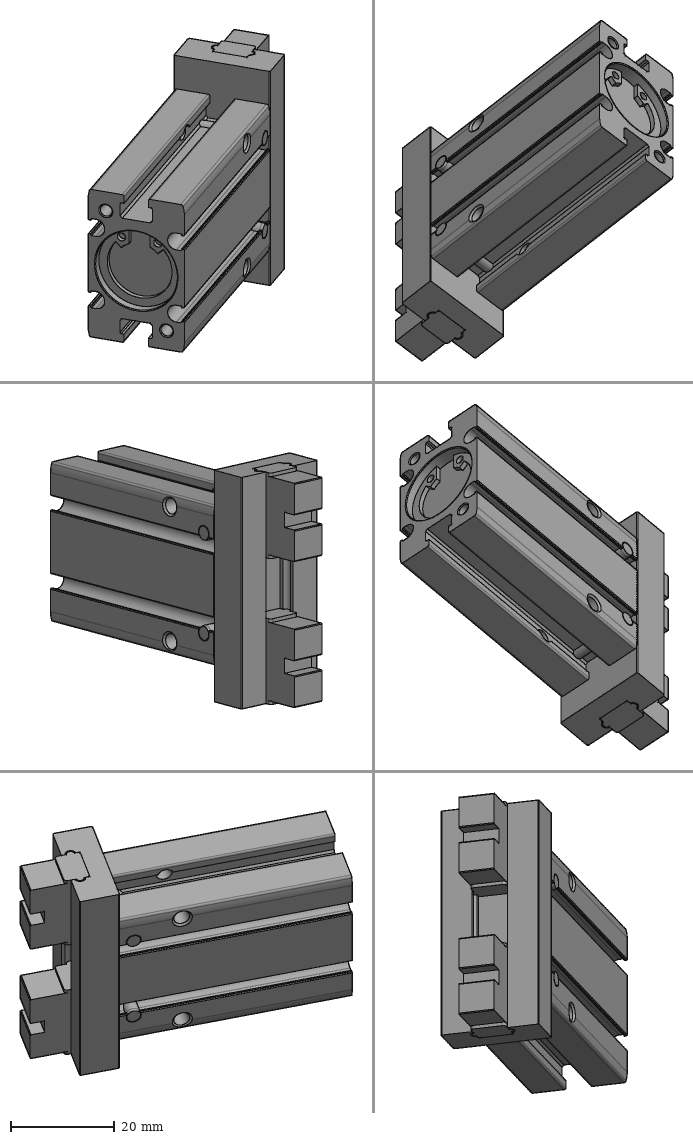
import cadquery as cq
import math


WIDTH = 20.0
LENGTH = 63.1
PLATE_HEIGHT = 46.4
BODY_HEIGHT = 32.0
BODY_LENGTH = 46.8
PLATE_END = 54.85
PLATE_CHAMFER = 0.2

SHOULDER_LEAN = 0.4
SHOULDER_HEIGHT = 2.1
CORNER_ROUND = 0.5
T_NECK_WIDTH = 5.05
T_NECK_DEPTH = 1.8
T_HEAD_WIDTH = 6.7
T_DEPTH = 5.1
T_FLOOR_CHAMFER = 0.45
T_HEAD_CHAMFER = 0.25
T_LIP_ROUND = 0.4
GROOVE_DIAMETER = 3.65
GROOVE_MOUTH = 2.9
GROOVE_CHAMFER = 0.2
GROOVE_LIP = 0.55
GROOVE_INSET = 1.65
GROOVE_Z = 7.8

CROSS_HOLE_DIAMETER = 3.2
CROSS_HOLE_RIM = 4.05
CROSS_HOLE_Y = 34.2
CROSS_HOLE_Z = 13.55
PIN_DIAMETER = 3.0
PIN_BEVEL = 0.1
PIN_BEVEL_LENGTH = 0.55
PIN_Y = 44.0
PIN_Z = 10.05
REAR_HOLE_DIAMETER = 2.45
REAR_HOLE_RIM = 2.9
REAR_HOLE_X = 6.3
REAR_HOLE_Z = 11.85
REAR_HOLE_DEPTH = 6.3

BORE_DIAMETER = 17.0
BORE_CHAMFER = 0.2
RING_FACE_Y = 1.9
RING_THICKNESS = 1.0
RING_INNER_DIAMETER = 13.45
RING_GAP = 4.35
RING_EYE_DIAMETER = 1.7
RING_EYE_X = 3.8
RING_EYE_Z = 5.8
LUG_INNER_RADIUS = 5.1
LUG_START_ANGLE = 42.5

JAW_WIDTH = 7.2
JAW_FOOT_HEIGHT = 17.15
JAW_FOOT_START = 51.05
JAW_FOOT_END = 56.15
JAW_CORNER_ROUND = 0.6
FINGER_HEIGHT = 15.7
NOTCH_HEIGHT = 3.0
NOTCH_DEPTH = 2.95
FINGER_CHAMFER = 0.2
GUIDE_Y = 53.0
GUIDE_X = 3.4
GUIDE_RADIUS = 0.8
GUIDE_SLOT_RADIUS = 1.1

BORE_DEPTH = RING_FACE_Y + RING_THICKNESS
JAW_Z = (PLATE_HEIGHT - JAW_FOOT_HEIGHT) / 2


def block(width, y_start, y_end, height, z_center=0):
    """Box centred on X = 0 that runs from y_start to y_end."""
    return (cq.Workplane("XY")
            .box(width, y_end - y_start, height)
            .translate((0, (y_start + y_end) / 2, z_center)))


def bar_along_y(diameter, x, z, y_start, y_end):
    """Round bar parallel to Y."""
    return cq.Workplane(cq.Solid.makeCylinder(
        diameter / 2, y_end - y_start, cq.Vector(x, y_start, z), cq.Vector(0, 1, 0)))


def bar_along_x(diameter, y, z):
    """Round bar parallel to X across the full width."""
    return cq.Workplane(cq.Solid.makeCylinder(
        diameter / 2, WIDTH, cq.Vector(-WIDTH / 2, y, z), cq.Vector(1, 0, 0)))


def countersink(small, large, point, direction):
    """Conical rim that narrows at 45 degrees from the surface inward."""
    return cq.Workplane(cq.Solid.makeCone(
        large / 2, small / 2, (large - small) / 2, cq.Vector(*point), cq.Vector(*direction)))


def extrude_profile(sketch, length):
    """Push an X-Z outline from the rear face forward."""
    return sketch.extrude(-length)


def body_bar():
    """Bar with small rounded corners and gently curved shoulders."""
    side = WIDTH / 2
    top = BODY_HEIGHT / 2
    shoulder = top - SHOULDER_HEIGHT
    lean = side - SHOULDER_LEAN
    radius = (SHOULDER_LEAN**2 + SHOULDER_HEIGHT**2) / (2 * SHOULDER_LEAN)
    half_angle = math.asin(SHOULDER_HEIGHT / radius) / 2
    mid_x = side - radius * (1 - math.cos(half_angle))
    mid_z = shoulder + radius * math.sin(half_angle)
    outline = (cq.Workplane("XZ")
               .moveTo(side, -shoulder)
               .lineTo(side, shoulder)
               .threePointArc((mid_x, mid_z), (lean, top))
               .lineTo(-lean, top)
               .threePointArc((-mid_x, mid_z), (-side, shoulder))
               .lineTo(-side, -shoulder)
               .threePointArc((-mid_x, -mid_z), (-lean, -top))
               .lineTo(lean, -top)
               .threePointArc((mid_x, -mid_z), (side, -shoulder))
               .close())
    bar = extrude_profile(outline, BODY_LENGTH)
    return bar.edges("|Y").edges(">Z or <Z").fillet(CORNER_ROUND)


def cut_t_slots(bar):
    """T-slots along the top and bottom faces, with rounded lips."""
    top = BODY_HEIGHT / 2
    neck = T_NECK_WIDTH / 2
    head = T_HEAD_WIDTH / 2
    neck_bottom = top - T_NECK_DEPTH
    floor = top - T_DEPTH
    outline = (cq.Workplane("XZ")
               .moveTo(-neck - T_LIP_ROUND, top)
               .radiusArc((-neck, top - T_LIP_ROUND), T_LIP_ROUND)
               .lineTo(-neck, neck_bottom)
               .lineTo(-head + T_HEAD_CHAMFER, neck_bottom)
               .lineTo(-head, neck_bottom - T_HEAD_CHAMFER)
               .lineTo(-head, floor + T_FLOOR_CHAMFER)
               .lineTo(-head + T_FLOOR_CHAMFER, floor)
               .lineTo(head - T_FLOOR_CHAMFER, floor)
               .lineTo(head, floor + T_FLOOR_CHAMFER)
               .lineTo(head, neck_bottom - T_HEAD_CHAMFER)
               .lineTo(head - T_HEAD_CHAMFER, neck_bottom)
               .lineTo(neck, neck_bottom)
               .lineTo(neck, top - T_LIP_ROUND)
               .radiusArc((neck + T_LIP_ROUND, top), T_LIP_ROUND)
               .close())
    slot = extrude_profile(outline, BODY_LENGTH)
    return bar.cut(slot).cut(slot.mirror("XY"))


def side_groove():
    """Cutter for the upper groove on the +X side: U-shaped channel behind two chamfered lips."""
    side = WIDTH / 2
    lip_back = side - GROOVE_LIP
    axis_x = side - GROOVE_INSET
    half_width = GROOVE_DIAMETER / 2
    half_mouth = GROOVE_MOUTH / 2
    outline = (cq.Workplane("XZ", origin=(0, 0, GROOVE_Z))
               .moveTo(axis_x, half_width)
               .lineTo(lip_back - GROOVE_CHAMFER, half_width)
               .lineTo(lip_back, half_width - GROOVE_CHAMFER)
               .lineTo(lip_back, half_mouth)
               .lineTo(side - GROOVE_CHAMFER, half_mouth)
               .lineTo(side, half_mouth + GROOVE_CHAMFER)
               .lineTo(side, -half_mouth - GROOVE_CHAMFER)
               .lineTo(side - GROOVE_CHAMFER, -half_mouth)
               .lineTo(lip_back, -half_mouth)
               .lineTo(lip_back, GROOVE_CHAMFER - half_width)
               .lineTo(lip_back - GROOVE_CHAMFER, -half_width)
               .lineTo(axis_x, -half_width)
               .threePointArc((axis_x - half_width, 0), (axis_x, half_width))
               .close())
    return extrude_profile(outline, BODY_LENGTH)


def cut_side_grooves(bar):
    """Sensor grooves, two on each side."""
    right_pair = side_groove().union(side_groove().mirror("XY"))
    return bar.cut(right_pair).cut(right_pair.mirror("YZ"))


def cut_cross_holes(bar):
    """Through holes across the width, countersunk at both ends."""
    for level in (-1, 1):
        z = level * CROSS_HOLE_Z
        bar = bar.cut(bar_along_x(CROSS_HOLE_DIAMETER, CROSS_HOLE_Y, z))
        for side in (-1, 1):
            rim_center = (side * WIDTH / 2, CROSS_HOLE_Y, z)
            bar = bar.cut(countersink(CROSS_HOLE_DIAMETER, CROSS_HOLE_RIM, rim_center, (-side, 0, 0)))
    return bar


def cross_pin(level):
    """Full-width pin with both ends slightly tapered."""
    end = WIDTH / 2
    taper_start = end - PIN_BEVEL_LENGTH
    radius = PIN_DIAMETER / 2
    outline = (cq.Workplane("XY")
               .moveTo(-end, 0)
               .lineTo(-end, radius - PIN_BEVEL)
               .lineTo(-taper_start, radius)
               .lineTo(taper_start, radius)
               .lineTo(end, radius - PIN_BEVEL)
               .lineTo(end, 0)
               .close())
    pin = outline.revolve(360, (0, 0, 0), (1, 0, 0))
    return pin.translate((0, PIN_Y, level * PIN_Z))


def add_cross_pins(bar):
    """Fixed pins, flush with the sides, that bridge the grooves and the T-slots."""
    for level in (-1, 1):
        bar = bar.cut(bar_along_x(PIN_DIAMETER, PIN_Y, level * PIN_Z))
        bar = bar.union(cross_pin(level))
    return bar


def cut_rear_holes(bar):
    """Two blind countersunk holes in opposite corners of the rear face."""
    for side in (-1, 1):
        x = side * REAR_HOLE_X
        z = -side * REAR_HOLE_Z
        bar = bar.cut(bar_along_y(REAR_HOLE_DIAMETER, x, z, 0, REAR_HOLE_DEPTH))
        bar = bar.cut(countersink(REAR_HOLE_DIAMETER, REAR_HOLE_RIM, (x, 0, z), (0, 1, 0)))
    return bar


def retaining_ring():
    """Internal ring with a gap at the top and two eyed lugs beside it."""
    outer = BORE_DIAMETER / 2
    reach = math.radians(LUG_START_ANGLE)
    ring = bar_along_y(BORE_DIAMETER, 0, 0, RING_FACE_Y, BORE_DEPTH)
    opening = bar_along_y(RING_INNER_DIAMETER, 0, 0, RING_FACE_Y, BORE_DEPTH)
    edge_x = outer * math.cos(reach)
    edge_z = outer * math.sin(reach)
    wedge = (cq.Workplane("XZ", origin=(0, RING_FACE_Y, 0))
             .polyline([(0, 0), (edge_x, edge_z), (edge_x, outer), (-edge_x, outer), (-edge_x, edge_z)])
             .close()
             .extrude(-RING_THICKNESS))
    lug_limit = bar_along_y(2 * LUG_INNER_RADIUS, 0, 0, RING_FACE_Y, BORE_DEPTH)
    ring = ring.cut(opening.cut(wedge.cut(lug_limit)))
    ring = ring.cut(block(RING_GAP, RING_FACE_Y, BORE_DEPTH, outer, outer / 2))
    for side in (-1, 1):
        ring = ring.cut(bar_along_y(
            RING_EYE_DIAMETER, side * RING_EYE_X, RING_EYE_Z, RING_FACE_Y, BORE_DEPTH))
    return ring


def cut_rear_bore(bar):
    """Shallow bore in the rear face that holds the retaining ring."""
    bar = bar.cut(bar_along_y(BORE_DIAMETER, 0, 0, 0, BORE_DEPTH))
    rim = BORE_DIAMETER + 2 * BORE_CHAMFER
    bar = bar.cut(countersink(BORE_DIAMETER, rim, (0, 0, 0), (0, 1, 0)))
    return bar.union(retaining_ring())


def guide_beads(radius, height):
    """Pair of upright round beads on both sides of the jaw guide."""
    bead = cq.Workplane("XY").circle(radius).extrude(height / 2, both=True)
    return bead.translate((-GUIDE_X, GUIDE_Y, 0)).union(bead.translate((GUIDE_X, GUIDE_Y, 0)))


def jaw_plate():
    """Cross plate with the slot that guides both jaws."""
    plate = block(WIDTH, BODY_LENGTH, PLATE_END, PLATE_HEIGHT)
    plate = plate.edges("|Z").chamfer(PLATE_CHAMFER)
    slot = block(JAW_WIDTH, JAW_FOOT_START, PLATE_END, PLATE_HEIGHT)
    return plate.cut(slot).cut(guide_beads(GUIDE_SLOT_RADIUS, PLATE_HEIGHT))


def make_housing():
    housing = body_bar()
    housing = cut_t_slots(housing)
    housing = cut_side_grooves(housing)
    housing = cut_cross_holes(housing)
    housing = add_cross_pins(housing)
    housing = cut_rear_holes(housing)
    housing = cut_rear_bore(housing)
    return housing.union(jaw_plate())


def make_jaw(level):
    """Jaw with a beaded foot in the guide slot and a notched finger."""
    z = level * JAW_Z
    foot = block(JAW_WIDTH, JAW_FOOT_START, JAW_FOOT_END, JAW_FOOT_HEIGHT, z)
    foot = foot.edges("|Z").fillet(JAW_CORNER_ROUND)
    foot = foot.union(guide_beads(GUIDE_RADIUS, JAW_FOOT_HEIGHT).translate((0, 0, z)))
    finger = block(JAW_WIDTH, PLATE_END, LENGTH, FINGER_HEIGHT, z)
    notch = block(JAW_WIDTH, LENGTH - NOTCH_DEPTH, LENGTH, NOTCH_HEIGHT, z)
    finger = finger.cut(notch)
    finger = finger.faces(">Y").edges("|X").chamfer(FINGER_CHAMFER)
    return foot.union(finger)


housing = make_housing()
jaws = [make_jaw(level) for level in (-1, 1)]

result = cq.Compound.makeCompound([housing.val(), *[jaw.val() for jaw in jaws]])